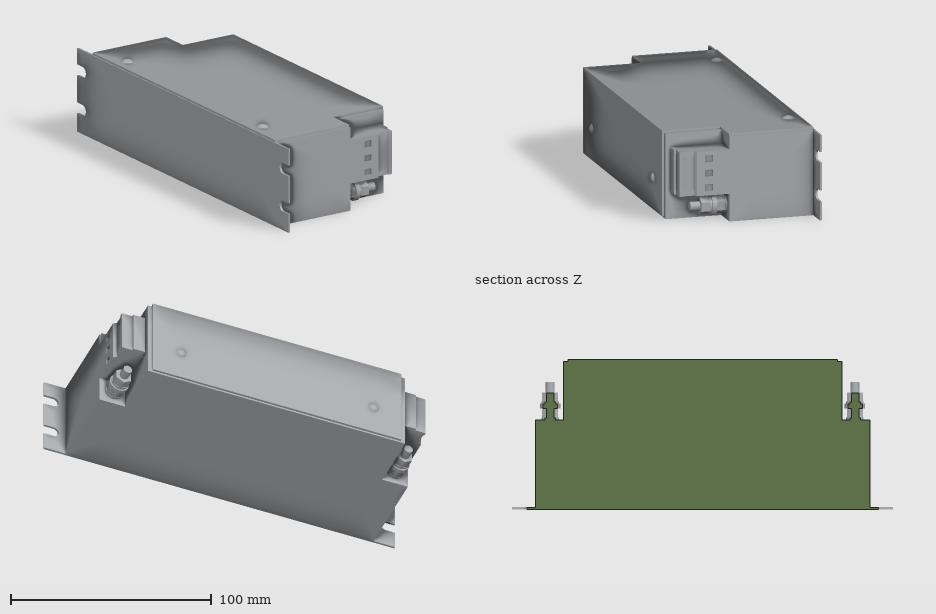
import cadquery as cq
import math

plate_width = 190.0
plate_height = 43.9
plate_thickness = 1.1
slot_width = 5.7
slot_depth = 7.8
slot_heights = (12.5, 32.5)

housing_width = 166.8
housing_height = plate_height
housing_front_depth = 44.8
housing_rear_width = 139.3
housing_depth = 74.0

cover_thickness = 1.1
cover_width = 164.5
cover_rear_width = 134.5
cover_front_gap = 0.5
cover_bottom_gap = 1.0
cover_top = housing_height + cover_thickness
cover_rear = housing_depth + cover_thickness

rivet_height = 1.3
top_rivet_diameter = 6.5
top_rivet_spacing = 121.8
top_rivet_y = 7.2
rear_rivet_diameter = 5.3
rear_rivet_spacing = 104.1
rear_rivet_z = 17.1

block_bottom = 14.2
block_top = 37.0
block_shoulder_y = 61.8
groove_start_y = 62.9
groove_end_y = 68.5
lip_end_y = 70.5
block_rear_y = 71.6
groove_inset = 1.7
lip_inset = 1.1
rear_step_inset = 6.8
relief_width = 0.5
relief_start_y = 67.5

pocket_length = 4.4
pocket_height = 3.6
pocket_depth = 1.3
pocket_y = 55.5
pocket_pitch = 7.5

stud_x = 76.0
stud_z = 7.5
stud_diameter = 4.5
stud_end_y = 63.5
nut_across_corners = 9.1
rear_nut_span = (53.8, 58.3)
front_nut_span = (45.8, 50.4)
washer_span = (front_nut_span[1], 52.6)
washer_diameter = 10.3
spacer_diameter = 8.7
inner_spacer_span = (housing_front_depth, front_nut_span[0])
outer_spacer_span = (washer_span[1], rear_nut_span[0])

ends = (-1, 1)


def box_between(x_range, y_range, z_range):
    """Box spanning the given coordinate ranges."""
    spans = [high - low for low, high in (x_range, y_range, z_range)]
    corner = (x_range[0], y_range[0], z_range[0])
    return cq.Workplane("XY").box(*spans, centered=False).translate(corner)


def centered_box(width, y_range, z_range):
    """Box centred on X = 0."""
    return box_between((-width / 2, width / 2), y_range, z_range)


def rod_along_y(profile, start_y, end_y):
    """Extrude an XZ-plane outline along the stud axis from start_y to end_y."""
    return profile.extrude(start_y - end_y).translate((-stud_x, start_y, stud_z))


def round_rod(diameter, start_y, end_y):
    return rod_along_y(cq.Workplane("XZ").circle(diameter / 2), start_y, end_y)


def hex_nut(start_y, end_y):
    """Hexagonal nut with two corners pointing up and down."""
    outline = cq.Workplane("XZ").transformed(rotate=(0, 0, 90)).polygon(6, nut_across_corners)
    return rod_along_y(outline, start_y, end_y)


def rivet_head(diameter):
    """Spherical cap standing on Z = 0."""
    radius = diameter / 2
    profile = (
        cq.Workplane("XZ")
        .lineTo(radius, 0)
        .threePointArc(cap_point(radius), (0, rivet_height))
        .close()
    )
    return profile.revolve(360, (0, 0), (0, 1))


def cap_point(radius):
    """Point midway along the arc of a cap with the given base radius."""
    sphere_radius = (radius**2 + rivet_height**2) / (2 * rivet_height)
    half_angle = math.asin(radius / sphere_radius) / 2
    drop = sphere_radius * (1 - math.cos(half_angle))
    return sphere_radius * math.sin(half_angle), rivet_height - drop


def mounting_plate():
    """Front plate with round-ended slots open to its left and right edges."""
    plate = centered_box(plate_width, (0, plate_thickness), (0, plate_height))
    slot_length = 2 * slot_depth
    for end in ends:
        slots = (
            cq.Workplane("XZ")
            .pushPoints([(end * plate_width / 2, z) for z in slot_heights])
            .slot2D(slot_length, slot_width)
            .extrude(-plate_thickness)
        )
        plate = plate.cut(slots)
    return plate


def housing():
    front = centered_box(housing_width, (0, housing_front_depth), (0, housing_height))
    rear = centered_box(housing_rear_width, (0, housing_depth), (0, housing_height))
    return front.union(rear)


def cover():
    """Top sheet following the stepped housing, folded down over the rear."""
    top_z = (housing_height, cover_top)
    front = centered_box(cover_width, (cover_front_gap, housing_front_depth), top_z)
    rear = centered_box(cover_rear_width, (cover_front_gap, cover_rear), top_z)
    flange = centered_box(cover_rear_width, (housing_depth, cover_rear), (cover_bottom_gap, cover_top))
    return front.union(rear).union(flange)


def rivets():
    heads = cq.Workplane("XY")
    top_head = rivet_head(top_rivet_diameter)
    rear_head = rivet_head(rear_rivet_diameter).rotate((0, 0, 0), (1, 0, 0), -90)
    for end in ends:
        heads = heads.add(top_head.translate((end * top_rivet_spacing / 2, top_rivet_y, cover_top)))
        heads = heads.add(rear_head.translate((end * rear_rivet_spacing / 2, cover_rear, rear_rivet_z)))
    return heads.combine()


def terminal_block():
    """Left terminal block with a gripping groove, a stepped rear and wire pockets."""
    outer_x = -housing_width / 2
    inner_x = -housing_rear_width / 2
    outline = [
        (outer_x, housing_front_depth),
        (outer_x, block_shoulder_y),
        (outer_x + groove_inset, groove_start_y),
        (outer_x + groove_inset, groove_end_y),
        (outer_x + lip_inset, groove_end_y),
        (outer_x + lip_inset, lip_end_y),
        (outer_x + rear_step_inset, lip_end_y),
        (outer_x + rear_step_inset, block_rear_y),
        (inner_x - relief_width, block_rear_y),
        (inner_x - relief_width, relief_start_y),
        (inner_x, relief_start_y),
        (inner_x, housing_front_depth),
    ]
    block = (
        cq.Workplane("XY", origin=(0, 0, block_bottom))
        .polyline(outline)
        .close()
        .extrude(block_top - block_bottom)
    )
    block_middle = (block_bottom + block_top) / 2
    for step in (-1, 0, 1):
        pocket = cq.Workplane("XY").box(2 * pocket_depth, pocket_length, pocket_height)
        block = block.cut(pocket.translate((outer_x, pocket_y, block_middle + step * pocket_pitch)))
    return block


def earth_stud():
    """Left earth stud with two nuts, a washer and two spacers, standing on the housing step."""
    return (
        round_rod(stud_diameter, housing_front_depth, stud_end_y)
        .union(round_rod(spacer_diameter, *inner_spacer_span))
        .union(round_rod(spacer_diameter, *outer_spacer_span))
        .union(round_rod(washer_diameter, *washer_span))
        .union(hex_nut(*front_nut_span))
        .union(hex_nut(*rear_nut_span))
    )


left_fittings = terminal_block().union(earth_stud())
right_fittings = left_fittings.mirror("YZ")

result = (
    housing()
    .union(mounting_plate())
    .union(cover())
    .union(rivets())
    .union(left_fittings)
    .union(right_fittings)
)